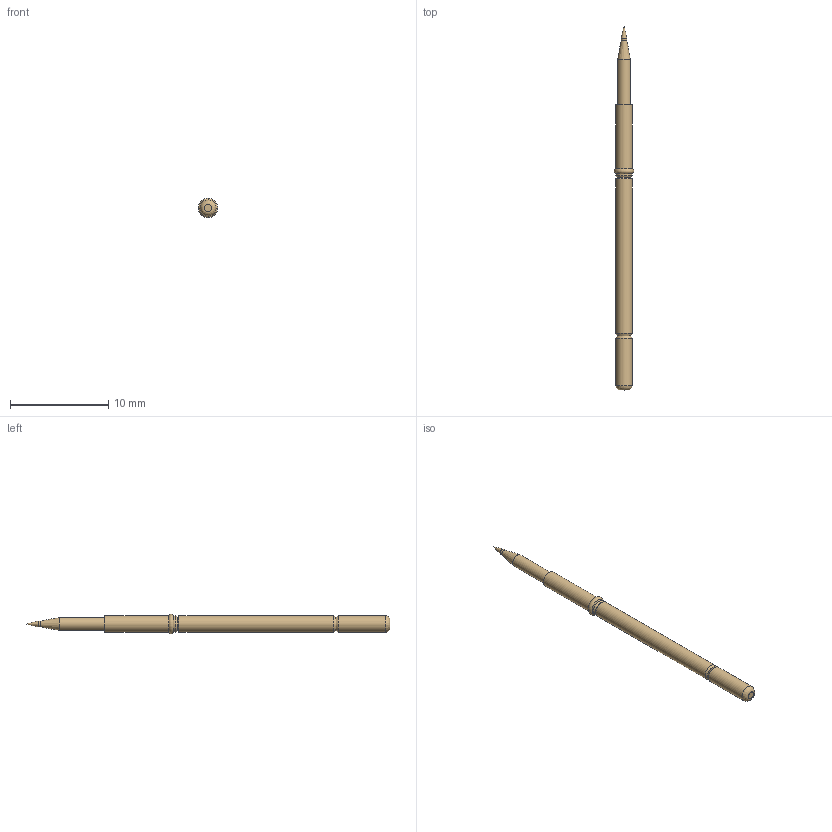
import cadquery as cq
import math

TOTAL_LENGTH = 37.0

BARREL_RADIUS = 0.825
BARREL_FRONT_Y = 29.0
REAR_ROUND_RADIUS = 0.45

COLLAR_RADIUS = 1.0
COLLAR_FRONT_Y = 22.5
COLLAR_LENGTH = 0.5

GROOVE_DEPTH = 0.12
CRIMP_REAR_Y = 5.25
CRIMP_BOTTOM_Y = 5.5
CRIMP_FRONT_Y = 5.75
NECK_REAR_Y = 21.45
NECK_BOTTOM_Y = 21.6
NECK_FRONT_Y = 21.8

PLUNGER_RADIUS = 0.65
NOSE_REAR_Y = 33.6
NOSE_FRONT_Y = 35.5
POINT_BASE_RADIUS = 0.3
POINT_BASE_Y = 35.75


def revolve_about_y(profile):
    """Revolve a closed half-profile, drawn as (Y, radius) in the YZ plane, about the Y axis."""
    return profile.revolve(360, (0, 0, 0), (1, 0, 0))


def make_barrel():
    shoulder_offset = REAR_ROUND_RADIUS * (1 - math.sqrt(0.5))
    groove_radius = BARREL_RADIUS - GROOVE_DEPTH
    profile = (
        cq.Workplane("YZ")
        .moveTo(0, 0)
        .lineTo(0, BARREL_RADIUS - REAR_ROUND_RADIUS)
        .threePointArc(
            (shoulder_offset, BARREL_RADIUS - shoulder_offset),
            (REAR_ROUND_RADIUS, BARREL_RADIUS),
        )
        .lineTo(CRIMP_REAR_Y, BARREL_RADIUS)
        .lineTo(CRIMP_BOTTOM_Y, groove_radius)
        .lineTo(CRIMP_FRONT_Y, BARREL_RADIUS)
        .lineTo(NECK_REAR_Y, BARREL_RADIUS)
        .lineTo(NECK_BOTTOM_Y, groove_radius)
        .lineTo(NECK_FRONT_Y, BARREL_RADIUS)
        .lineTo(COLLAR_FRONT_Y - COLLAR_LENGTH, BARREL_RADIUS)
        .threePointArc(
            (COLLAR_FRONT_Y - COLLAR_LENGTH / 2, COLLAR_RADIUS),
            (COLLAR_FRONT_Y, BARREL_RADIUS),
        )
        .lineTo(BARREL_FRONT_Y, BARREL_RADIUS)
        .lineTo(BARREL_FRONT_Y, 0)
        .close()
    )
    return revolve_about_y(profile)


def make_plunger():
    profile = (
        cq.Workplane("YZ")
        .moveTo(BARREL_FRONT_Y, 0)
        .lineTo(BARREL_FRONT_Y, PLUNGER_RADIUS)
        .lineTo(NOSE_REAR_Y, PLUNGER_RADIUS)
        .lineTo(NOSE_FRONT_Y, POINT_BASE_RADIUS)
        .lineTo(POINT_BASE_Y, POINT_BASE_RADIUS)
        .lineTo(TOTAL_LENGTH, 0)
        .close()
    )
    return revolve_about_y(profile)


result = make_barrel().union(make_plunger())